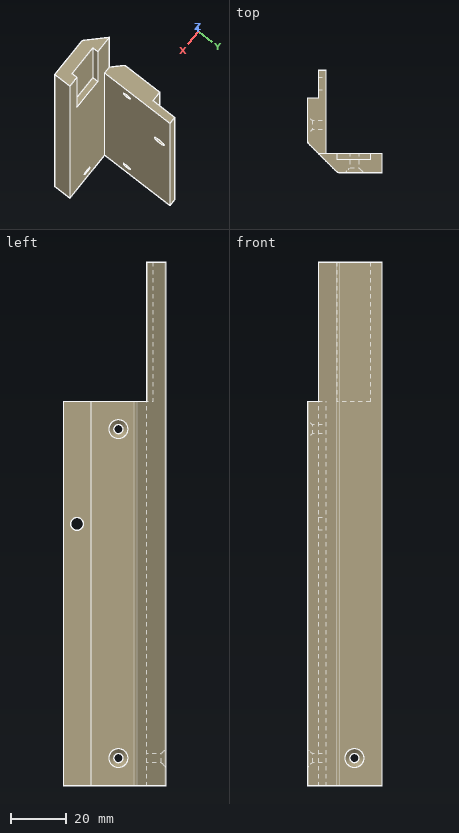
import cadquery as cq

width = 27.0
depth = 37.0
height = 188.5

side_wall = 6.8
front_wall = 7.0
bevel = 11.0
bevel_edge_radius = 1.5

flange_thickness = 2.8
flange_start = 27.0

side_height = 138.3

channel_left = 10.7
channel_right = 22.8
channel_depth = 2.3

screw_diameter = 3.2
sink_diameter = 6.8
sink_angle = 90
end_margin = 10.0
front_screw_x = 17
side_screw_y = 17.1
pin_diameter = 4.5
pin_y = 32
pin_z = 94.2


def angle_body():
    """Beveled angle section with the side wall cut short."""
    outline = [
        (bevel, 0),
        (width, 0),
        (width, front_wall),
        (side_wall, front_wall),
        (side_wall, depth),
        (side_wall - flange_thickness, depth),
        (side_wall - flange_thickness, flange_start),
        (0, flange_start),
        (0, bevel),
    ]
    body = cq.Workplane("XY").polyline(outline).close().extrude(height)
    for x, y in [(bevel, 0), (0, bevel)]:
        edge = cq.selectors.NearestToPointSelector((x, y, height / 2))
        body = body.edges(edge).fillet(bevel_edge_radius)
    step_cut = cq.Workplane("XY").box(width, depth, height - side_height, centered=False)
    return body.cut(step_cut.translate((0, front_wall, side_height)))


def channel():
    """Cutter for the channel, open at the top end."""
    block = cq.Workplane("XY").box(
        channel_right - channel_left, channel_depth, height - side_height, centered=False
    )
    return block.translate((channel_left, front_wall - channel_depth, side_height))


def countersunk_screw(body, face, position):
    """Countersunk through hole at a (horizontal, Z) position on an outer face."""
    plane = body.faces(face).workplane(origin=(0, 0, 0)).pushPoints([position])
    return plane.cskHole(screw_diameter, sink_diameter, sink_angle)


result = angle_body().cut(channel())
result = countersunk_screw(result, "<Y", (front_screw_x, end_margin))
for screw_z in (end_margin, side_height - end_margin):
    result = countersunk_screw(result, "<X", (-side_screw_y, screw_z))

pin_hole = cq.Workplane("YZ").center(pin_y, pin_z).circle(pin_diameter / 2).extrude(side_wall)
result = result.cut(pin_hole)